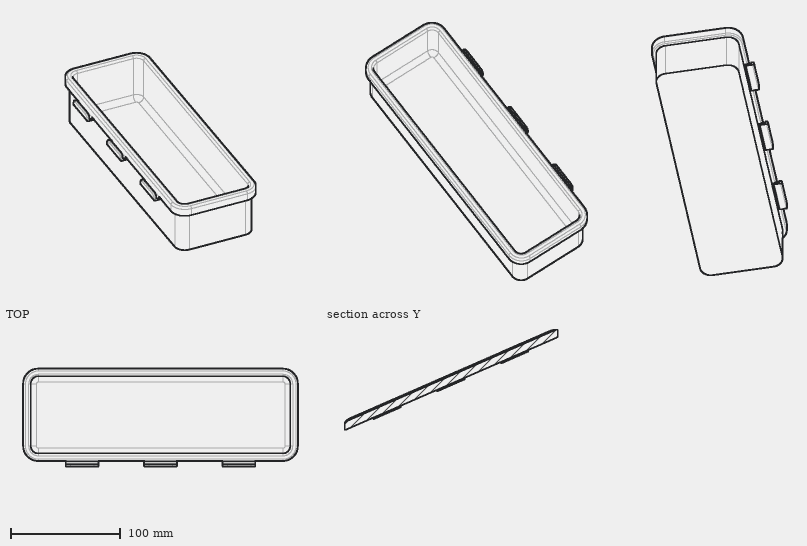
import cadquery as cq

length = 251.0
rim_depth = 84.5
height = 50.0

rim_overhang = 4.0
rim_height = 10.0
rim_corner_radius = 14.0
rim_top_fillet = 2.0
rim_bottom_fillet = 1.3
body_length = length - 2 * rim_overhang
body_depth = rim_depth - 2 * rim_overhang
body_corner_radius = rim_corner_radius - rim_overhang

wall = 3.0
floor_thickness = 3.0
floor_fillet = 5.0
mouth_fillet = 2.0
cavity_length = body_length - 2 * wall
cavity_depth = body_depth - 2 * wall
cavity_corner_radius = body_corner_radius - wall

hook_count = 3
hook_pitch = 71.5
hook_width = 30.0
hook_reach = 5.0
hook_root = 2.5
hook_drop = 2.0
hook_height = 6.8
hook_upright = 2.3
hook_foot = 1.8
hook_corner_radius = 4.3
hook_edge_fillet = 1.0
hook_root_fillet = 0.8
groove_fillet = 1.3

rim_front = -rim_depth / 2
rim_bottom = height - rim_height
hook_bottom = rim_bottom - hook_drop


def rounded_block(size_x, size_y, size_z, corner_radius, base_z):
    """Upright block centred on the Z axis with rounded vertical corners."""
    block = cq.Workplane("XY", origin=(0, 0, base_z)).rect(size_x, size_y).extrude(size_z)
    return block.edges("|Z").fillet(corner_radius)


def make_tray():
    """Open tray with an overhanging rim and a rounded cavity."""
    rim = rounded_block(length, rim_depth, rim_height, rim_corner_radius, rim_bottom)
    rim = rim.faces(">Z").edges().fillet(rim_top_fillet)
    rim = rim.faces("<Z").edges().fillet(rim_bottom_fillet)
    body = rounded_block(body_length, body_depth, height, body_corner_radius, 0)
    cavity = rounded_block(
        cavity_length, cavity_depth, height - floor_thickness, cavity_corner_radius, floor_thickness
    )
    cavity = cavity.faces("<Z").edges().fillet(floor_fillet)
    tray = body.union(rim).cut(cavity)
    mouth = cq.selectors.BoxSelector(
        (-cavity_length / 2 - wall, -cavity_depth / 2 - wall, height - wall / 2),
        (cavity_length / 2 + wall, cavity_depth / 2 + wall, height + wall / 2),
        boundingbox=True,
    )
    return tray.edges(mouth).fillet(mouth_fillet)


def make_hook():
    """Hook centred on X = 0: a foot under the rim with a lip in front; its root merges into the rim."""
    front = rim_front - hook_reach
    back = rim_front + hook_root
    blank = (
        cq.Workplane("XZ", origin=(0, front, hook_bottom))
        .rect(hook_width, 2 * hook_height)
        .extrude(front - back)
        .edges("|Y and >Z")
        .fillet(hook_corner_radius)
    )
    lower_half = cq.Workplane("XY", origin=(0, front, hook_bottom - hook_height)).box(
        hook_width, back - front, hook_height, centered=(True, False, False)
    )
    hook = blank.cut(lower_half).faces("<Y").edges().fillet(hook_edge_fillet)

    groove_floor = hook_bottom + hook_foot
    groove = cq.Workplane("XY", origin=(0, front + hook_upright, groove_floor)).box(
        hook_width, hook_reach - hook_upright, hook_height, centered=(True, False, False)
    )
    groove = groove.edges("|X and <Z").fillet(groove_fillet)
    hook = hook.cut(groove)
    return hook.edges("|X and >Y and <Z").fillet(hook_root_fillet)


result = make_tray()
hook = make_hook()
for index in range(hook_count):
    offset = (index - (hook_count - 1) / 2) * hook_pitch
    result = result.union(hook.translate((offset, 0, 0)))